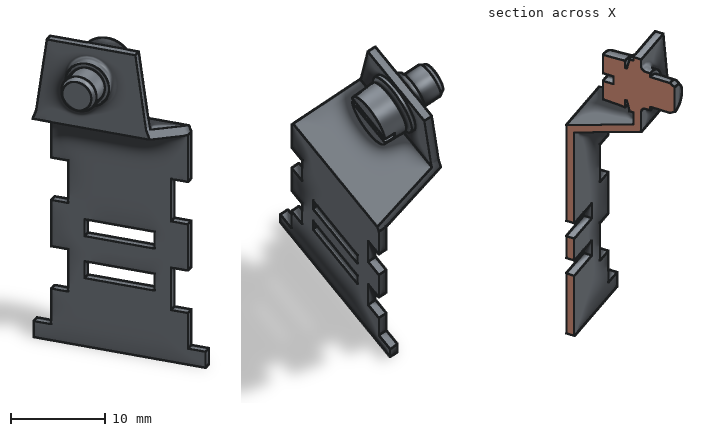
import cadquery as cq
import math

thickness = 1.0
bracket_height = 39.6
foot_width = 19.7
foot_height = 1.9
body_width = 15.65
offset_depth = 9.0
web_front_bottom = 27.05
web_front_top = 29.95
taper_break_height = 31.0
taper_break_width = 12.6
tab_top_width = 10.15

waist_width = 11.8
notch_height = 5.0
notch_bottoms = (6.1, 16.55)
slot_width = 8.0
slot_height = 2.0
slot_bottoms = (8.05, 13.0)

screw_height = 35.65
head_top_y = -4.4
head_base_y = -7.05
head_top_radius = 3.0
head_base_radius = 3.13
drive_slot_width = 0.95
drive_slot_depth = 1.23
neck_radius = 2.18
neck_length = 0.15
washer_radius = 3.5
washer_thickness = 0.48
washer_cone_radius = 3.33
collar_radius = 2.5
collar_length = 1.05
collar_flare = 0.5
shank_radius = 2.02
shank_tip_y = -13.0
tip_chamfer_length = 0.6
tip_radius = 1.65

tab_front_y = -offset_depth
tab_back_y = tab_front_y + thickness


def make_bent_sheet():
    """Side profile of the sheet, extruded across the full foot width."""
    web_run = offset_depth - thickness
    web_angle = math.atan2(web_front_top - web_front_bottom, web_run)
    miter_shift = thickness * math.tan(math.pi / 4 - web_angle / 2)
    profile = [
        (0, 0),
        (-thickness, 0),
        (-thickness, web_front_bottom),
        (tab_front_y, web_front_top),
        (tab_front_y, bracket_height),
        (tab_back_y, bracket_height),
        (tab_back_y, web_front_top + miter_shift),
        (0, web_front_bottom + miter_shift),
    ]
    return cq.Workplane("YZ").polyline(profile).close().extrude(foot_width / 2, both=True)


def make_front_outline():
    """Front outline of foot, body and tapered tab, as a block through the full depth."""
    right_side = [
        (foot_width / 2, 0),
        (foot_width / 2, foot_height),
        (body_width / 2, foot_height),
        (body_width / 2, web_front_bottom),
        (taper_break_width / 2, taper_break_height),
        (tab_top_width / 2, bracket_height),
    ]
    left_side = [(-x, z) for x, z in reversed(right_side)]
    return cq.Workplane("XZ").polyline(right_side + left_side).close().extrude(offset_depth)


def make_body_cutter(x_center, width, bottom, height):
    """Block that cuts a rectangular opening through the body."""
    return (
        cq.Workplane("XY", origin=(x_center, -thickness / 2, bottom))
        .box(width, thickness, height, centered=(True, True, False))
    )


def make_bracket():
    bracket = make_bent_sheet().intersect(make_front_outline())
    notch_depth = (body_width - waist_width) / 2
    notch_center = (body_width + waist_width) / 4
    for bottom in notch_bottoms:
        for side in (-1, 1):
            bracket = bracket.cut(make_body_cutter(side * notch_center, notch_depth, bottom, notch_height))
    for bottom in slot_bottoms:
        bracket = bracket.cut(make_body_cutter(0, slot_width, bottom, slot_height))
    return bracket


def make_screw():
    """Screw, washer and flared collar, revolved about the screw axis."""
    collar_end_y = tab_front_y - collar_length
    arc_offset = collar_flare * (1 - math.sqrt(0.5))
    profile = (
        cq.Workplane("XY", origin=(0, 0, screw_height))
        .moveTo(0, head_top_y)
        .lineTo(head_top_radius, head_top_y)
        .lineTo(head_base_radius, head_base_y)
        .lineTo(neck_radius, head_base_y)
        .lineTo(neck_radius, head_base_y - neck_length)
        .lineTo(washer_cone_radius, tab_back_y + washer_thickness)
        .lineTo(washer_radius, tab_back_y + washer_thickness)
        .lineTo(washer_radius, tab_back_y)
        .lineTo(collar_radius + collar_flare, tab_back_y)
        .lineTo(collar_radius + collar_flare, tab_front_y)
        .threePointArc(
            (collar_radius + arc_offset, tab_front_y - arc_offset),
            (collar_radius, tab_front_y - collar_flare),
        )
        .lineTo(collar_radius, collar_end_y)
        .lineTo(shank_radius, collar_end_y)
        .lineTo(shank_radius, shank_tip_y + tip_chamfer_length)
        .lineTo(tip_radius, shank_tip_y)
        .lineTo(0, shank_tip_y)
        .close()
    )
    screw = profile.revolve(360, (0, 0, 0), (0, 1, 0))
    drive_slot = (
        cq.Workplane("XY", origin=(0, head_top_y - drive_slot_depth / 2, screw_height))
        .box(2 * head_base_radius, drive_slot_depth, drive_slot_width)
    )
    return screw.cut(drive_slot)


result = make_bracket().union(make_screw())